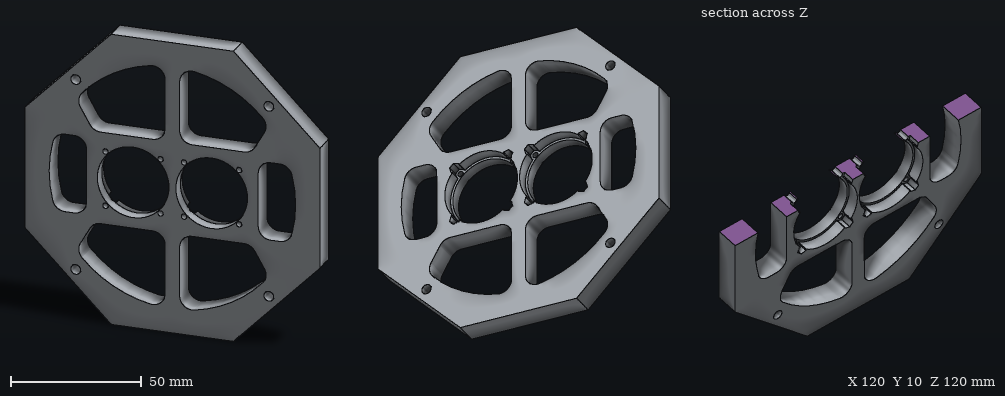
import cadquery as cq
import math

width = 120.0
thickness = 10.0

rim_radius = 50.0
corner_radius = 5.0
side_inner_x = 34.9
side_half_height = 16.0
spoke_half_width = 3.0
corner_inner_z = 19.0
corner_foot_x = 32.0
slant = math.radians(60)

mount_diameter = 4.0
mount_offset = 39.2

bore_diameter = 29.0
rear_bore_diameter = 31.0
bore_offset = 16.0
screw_diameter = 2.2
screw_circle_radius = 15.8
screw_angles = (45, 135, 225, 315)
nut_width = 4.0
rear_step_y = thickness / 2

FRONT = cq.Workplane("XZ")


def regular_prism(sides, across_flats, start_y=0.0):
    """Prism on the Y axis from start_y to the back face, with flats facing X or Z."""
    half_step = math.pi / sides
    across_corners = across_flats / math.cos(half_step)
    return (
        FRONT.workplane(offset=-start_y)
        .transformed(rotate=(0, 0, math.degrees(half_step)))
        .polygon(sides, across_corners)
        .extrude(start_y - thickness)
    )


def cylinder(x, z, diameter, start_y=0.0):
    """Round cutter from start_y to the back face."""
    plane = FRONT.workplane(offset=-start_y)
    return plane.center(x, z).circle(diameter / 2).extrude(start_y - thickness)


def rounded_window(outline):
    """Cutter through the plate, with rounded corners."""
    return outline.close().extrude(-thickness).edges("|Y").fillet(corner_radius)


def side_window():
    """Window on the +X side."""
    outer_x = math.sqrt(rim_radius**2 - side_half_height**2)
    return rounded_window(
        FRONT.moveTo(side_inner_x, -side_half_height)
        .lineTo(outer_x, -side_half_height)
        .threePointArc((rim_radius, 0), (outer_x, side_half_height))
        .lineTo(side_inner_x, side_half_height)
    )


def corner_window():
    """Window in the +X +Z quarter."""
    offset_from_centre = corner_foot_x * math.sin(slant) - corner_inner_z * math.cos(slant)
    tip_angle = slant - math.asin(offset_from_centre / rim_radius)
    spoke_angle = math.acos(spoke_half_width / rim_radius)
    tip, middle, top = [
        (rim_radius * math.cos(angle), rim_radius * math.sin(angle))
        for angle in (tip_angle, (tip_angle + spoke_angle) / 2, spoke_angle)
    ]
    return rounded_window(
        FRONT.moveTo(spoke_half_width, corner_inner_z)
        .lineTo(corner_foot_x, corner_inner_z)
        .lineTo(*tip)
        .threePointArc(middle, top)
    )


def stepped_bore(center_x):
    """Bore that widens in the rear half of the plate."""
    front = cylinder(center_x, 0, bore_diameter)
    return front.union(cylinder(center_x, 0, rear_bore_diameter, rear_step_y))


def screw_hole(center_x, angle):
    """Screw hole with a hexagonal nut pocket behind it, one flat facing away from the bore."""
    hole = cylinder(screw_circle_radius, 0, screw_diameter)
    pocket = regular_prism(6, nut_width, rear_step_y).translate((screw_circle_radius, 0, 0))
    cutter = hole.union(pocket)
    return cutter.rotate((0, 0, 0), (0, 1, 0), angle).translate((center_x, 0, 0))


plate = regular_prism(8, width)

side = side_window()
plate = plate.cut(side).cut(side.mirror("YZ"))

upper_right = corner_window()
for window in (upper_right, upper_right.mirror("XY")):
    plate = plate.cut(window).cut(window.mirror("YZ"))

for x in (-mount_offset, mount_offset):
    for z in (-mount_offset, mount_offset):
        plate = plate.cut(cylinder(x, z, mount_diameter))

for center_x in (-bore_offset, bore_offset):
    plate = plate.cut(stepped_bore(center_x))
    for angle in screw_angles:
        plate = plate.cut(screw_hole(center_x, angle))

result = plate